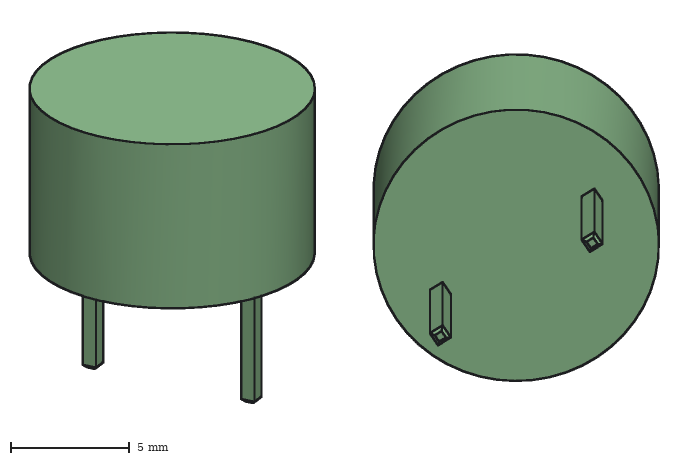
import cadquery as cq

housing_diameter = 12.0
housing_height = 7.5

pin_pitch = 7.6
pin_width = 0.64
pin_length = 6.0
pin_tip_chamfer = 0.15


def make_housing():
    """Plain cylinder centred on the Z axis."""
    return cq.Workplane("XY").circle(housing_diameter / 2).extrude(housing_height)


def make_pin(x_position):
    """Square pin hanging from the housing underside, with a chamfered tip."""
    return (
        cq.Workplane("XY")
        .center(x_position, 0)
        .rect(pin_width, pin_width)
        .extrude(-pin_length)
        .faces("<Z")
        .chamfer(pin_tip_chamfer)
    )


housing = make_housing()

pins = []
for side in (-1, 1):
    pins.append(make_pin(side * pin_pitch / 2))

result = cq.Compound.makeCompound([housing.val(), *[pin.val() for pin in pins]])